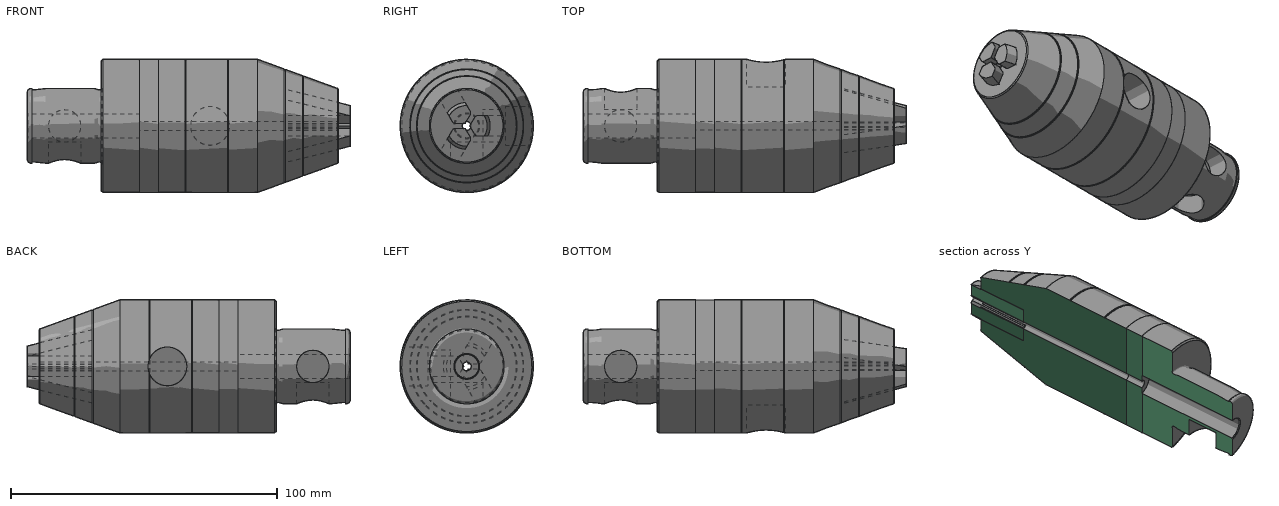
import cadquery as cq
import math


total_length = 121.1
shank_neck_start = 1.8
shank_taper_start = 2.5
shank_taper_end = 7.0
undercut_start = 25.3
flange_x = 27.7
adapter_end = 42.0
spacer_end = 49.3
cone_start = 86.4
nose_x = 116.8
groove_places = (59.4, 75.3, 96.5, 103.5)

body_radius = 50.0 / 2
cone_end_radius = 13.9
shank_radius = 14.0
shank_nose_fillet = 1.5
shank_neck_radius = 13.6
undercut_radius = 27.3 / 2
face_recess_radius = 15.7
bore_radius = 4.5
bore_chamfer = 0.4
through_radius = 3.3 / 2

flange_chamfer = 0.6
nose_chamfer = 0.4
face_recess_depth = 0.2
undercut_ramp = 1.3
undercut_fillet = 0.7
groove_width = 0.42
groove_depth = 0.1

coupling_hole_x = 14.0
coupling_hole_radius = 6.0
coupling_hole_floor = 6.0
key_hole_x = 68.6
key_hole_radius = 7.3
key_hole_floor = 14.5

jaw_count = 3
jaw_half_width = 3.9
jaw_gap = 1.9
jaw_edge_fillet = 1.2
jaw_tip_radius = 7.6
jaw_taper = 15
jaw_length = 24.2
jaw_face_lean = math.pi / 2 - math.pi / jaw_count


def revolve_about_x(profile):
    """Turn a closed (x, radius) outline about the X axis."""
    return profile.close().revolve(360, (0, 0, 0), (1, 0, 0))


def cylinder_along_x(start, end, radius):
    return cq.Workplane("YZ").workplane(offset=start).circle(radius).extrude(end - start)


def radial_hole(x, radius, floor, turn):
    """Blind hole from the skin down to `floor`; it points to +Y and is turned about X by `turn`."""
    drill = cq.Solid.makeCylinder(radius, body_radius, cq.Vector(x, floor, 0), cq.Vector(0, 1, 0))
    return cq.Workplane(drill).rotate((0, 0, 0), (1, 0, 0), turn)


def make_shank_adapter():
    undercut_floor_x = flange_x + face_recess_depth
    fillet_mid = shank_nose_fillet * (1 - math.sqrt(0.5))
    profile = (
        cq.Workplane("XZ")
        .moveTo(0, 0)
        .lineTo(0, shank_radius - shank_nose_fillet)
        .threePointArc((fillet_mid, shank_radius - fillet_mid), (shank_nose_fillet, shank_radius))
        .lineTo(shank_neck_start, shank_radius)
        .lineTo(shank_neck_start, shank_neck_radius)
        .lineTo(shank_taper_start, shank_neck_radius)
        .lineTo(shank_taper_end, shank_radius)
        .lineTo(undercut_start, shank_radius)
        .lineTo(undercut_start + undercut_ramp, undercut_radius)
        .lineTo(undercut_floor_x - undercut_fillet, undercut_radius)
        .radiusArc((undercut_floor_x, undercut_radius + undercut_fillet), -undercut_fillet)
        .lineTo(flange_x, face_recess_radius)
        .lineTo(flange_x, body_radius - flange_chamfer)
        .lineTo(flange_x + flange_chamfer, body_radius)
        .lineTo(adapter_end, body_radius)
        .lineTo(adapter_end, 0)
    )
    bore = (
        cq.Workplane("XZ")
        .lineTo(0, bore_radius + bore_chamfer)
        .lineTo(bore_chamfer, bore_radius)
        .lineTo(adapter_end, bore_radius)
        .lineTo(adapter_end, 0)
    )
    adapter = revolve_about_x(profile).cut(revolve_about_x(bore))
    for turn in (0, -90):
        adapter = adapter.cut(radial_hole(coupling_hole_x, coupling_hole_radius, coupling_hole_floor, turn))
    return adapter


def make_spacer_ring():
    ring = cylinder_along_x(adapter_end, spacer_end, body_radius)
    return ring.cut(cylinder_along_x(adapter_end, spacer_end, through_radius))


def skin_radius(x):
    """Outer radius of the chuck: a cylinder up to the cone, then the straight cone."""
    cone_share = (x - cone_start) / (nose_x - cone_start)
    return body_radius - max(0, cone_share) * (body_radius - cone_end_radius)


def make_ring_groove(x):
    start = x - groove_width / 2
    end = x + groove_width / 2
    profile = (
        cq.Workplane("XZ")
        .moveTo(start, skin_radius(start) - groove_depth)
        .lineTo(end, skin_radius(end) - groove_depth)
        .lineTo(end, body_radius + groove_depth)
        .lineTo(start, body_radius + groove_depth)
    )
    return revolve_about_x(profile)


def make_chuck(jaws):
    profile = (
        cq.Workplane("XZ")
        .moveTo(spacer_end, 0)
        .lineTo(spacer_end, body_radius)
        .lineTo(cone_start, body_radius)
        .lineTo(nose_x - nose_chamfer, skin_radius(nose_x - nose_chamfer))
        .lineTo(nose_x, cone_end_radius - nose_chamfer)
        .lineTo(nose_x, 0)
    )
    chuck = revolve_about_x(profile).cut(cylinder_along_x(spacer_end, nose_x, through_radius))
    for x in groove_places:
        chuck = chuck.cut(make_ring_groove(x))
    chuck = chuck.cut(radial_hole(key_hole_x, key_hole_radius, key_hole_floor, 0))
    for jaw in jaws:
        chuck = chuck.cut(jaw)
    return chuck


def make_jaw(turn):
    """Bar with parallel sides, a V-shaped inner edge and a conical back, set on +Y and turned about X."""
    back_x = total_length - jaw_length
    back_radius = jaw_tip_radius + jaw_length * math.tan(math.radians(jaw_taper))
    edge_radius = jaw_gap / 2 / math.cos(jaw_face_lean)
    shoulder_radius = edge_radius + jaw_half_width * math.tan(jaw_face_lean)
    bar = (
        cq.Workplane("YZ")
        .workplane(offset=back_x)
        .moveTo(edge_radius, 0)
        .lineTo(shoulder_radius, jaw_half_width)
        .lineTo(body_radius, jaw_half_width)
        .lineTo(body_radius, -jaw_half_width)
        .lineTo(shoulder_radius, -jaw_half_width)
        .close()
        .extrude(jaw_length)
        .edges("|X and (not <Y)")
        .fillet(jaw_edge_fillet)
    )
    cone = revolve_about_x(
        cq.Workplane("XZ")
        .moveTo(back_x, 0)
        .lineTo(back_x, back_radius)
        .lineTo(total_length, jaw_tip_radius)
        .lineTo(total_length, 0)
    )
    return bar.intersect(cone).rotate((0, 0, 0), (1, 0, 0), turn)


shank_adapter = make_shank_adapter()
spacer_ring = make_spacer_ring()
jaws = [make_jaw(360 / jaw_count * index) for index in range(jaw_count)]
chuck = make_chuck(jaws)

result = cq.Compound.makeCompound(
    [shank_adapter.val(), spacer_ring.val(), chuck.val(), *[jaw.val() for jaw in jaws]]
)